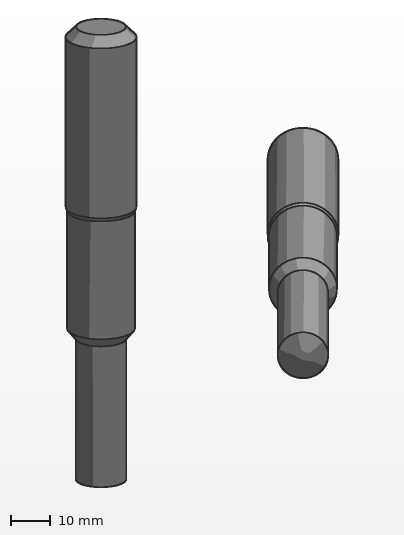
import cadquery as cq

total_length = 123.0

shank_diameter = 18.0
top_chamfer = 2.7
shank_step_top = 74.9
shank_step_height = 1.0

collar_diameter = 17.2
taper_top = 42.4
taper_height = 2.7

drill_diameter = 12.8
tip_height = 2.1

shank_radius = shank_diameter / 2
collar_radius = collar_diameter / 2
drill_radius = drill_diameter / 2
drill_top = taper_top - taper_height


def revolve_about_z(profile):
    """Turn a closed (radius, height) profile around the Z axis."""
    return cq.Workplane("XZ").polyline(profile).close().revolve(360, (0, 0, 0), (0, 1, 0))


def make_holder():
    """Chamfered shank, slightly narrower collar and the taper down to the drill."""
    return revolve_about_z([
        (0, drill_top),
        (drill_radius, drill_top),
        (collar_radius, taper_top),
        (collar_radius, shank_step_top - shank_step_height),
        (shank_radius, shank_step_top),
        (shank_radius, total_length - top_chamfer),
        (shank_radius - top_chamfer, total_length),
        (0, total_length),
    ])


def make_drill():
    """Plain cylinder with a shallow conical tip, butted against the holder."""
    return revolve_about_z([
        (0, 0),
        (drill_radius, tip_height),
        (drill_radius, drill_top),
        (0, drill_top),
    ])


holder = make_holder()
drill = make_drill()

result = cq.Compound.makeCompound([holder.val(), drill.val()])